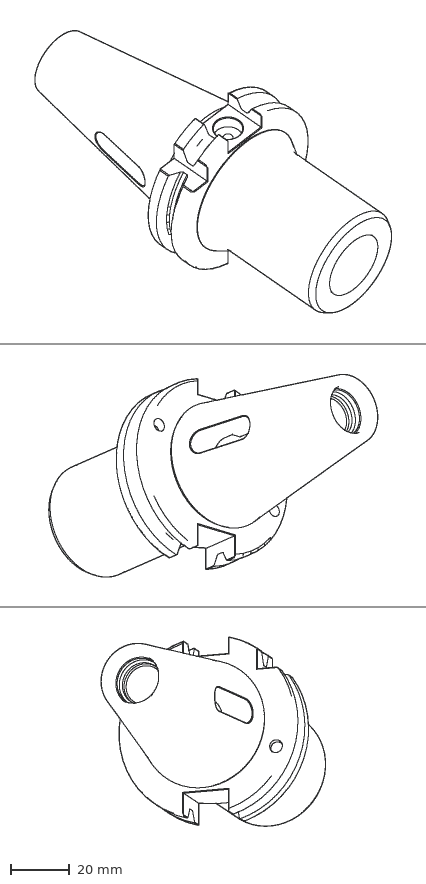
import cadquery as cq
import math

clearance = 1.4

total_length = 138.4
gauge_x = 68.4
flange_front_x = 71.5
flange_back_x = 87.5
flange_mid_x = 79.5

gauge_radius = 44.4 / 2
taper_half_slope = 7 / 48
taper_end_x = 68.8
small_end_fillet = 1.0
relief_radius = 21.6
relief_ramp = 1.2
relief_root_fillet = 0.5

flange_radius = 31.7
rim_fillet = 1.0
groove_root_radius = 28.1
groove_half_width = 3.5
groove_flank_angle = 30.0
groove_fillet = 1.0

body_radius = 40.0 / 2
body_chamfer_length = 2.2
body_chamfer_depth = 1.2
hub_length = 0.3
shoulder_radius = 23.8
shoulder_angle = 30.0
shoulder_fillet = 2.0

slot_width = 16.2
upper_slot_floor = 24.8
lower_slot_floor = 22.8
notch_offset = 18.5
edge_break = 0.3

chip_radius = 5.0
chip_depth = 4.5
pilot_radius = 1.7
pilot_depth = 8.3
pilot_tip_angle = 118.0

coolant_circle_radius = 27.0
coolant_position_angle = 20.0
coolant_radius = 2.2
coolant_lean_angle = 15.0
coolant_depth = 4.8

window_start_x = 33.5
window_end_x = 60.3
window_height = 8.2

mouth_fillet = 1.0
counterbore_radius = 17.0 / 2
counterbore_depth = 5.0
landing_radius = 8.2
landing_end_x = 7.5
thread_radius = 7.3
thread_length = 1.7
bore_radius = 6.8

socket_mouth_radius = 11.9
socket_half_slope = 0.025
socket_depth = 85.8


def tan_deg(angle):
    return math.tan(math.radians(angle))


def taper_radius(x):
    return gauge_radius - (gauge_x - x) * taper_half_slope


def revolve_about_x(profile):
    return profile.close().revolve(360, (0, 0, 0), (1, 0, 0))


def make_shank_and_body():
    hub_end_x = flange_back_x + hub_length
    shoulder_end_x = hub_end_x + (shoulder_radius - body_radius) / tan_deg(shoulder_angle)
    shank = revolve_about_x(
        cq.Workplane("XY")
        .moveTo(0, 0)
        .lineTo(0, taper_radius(0))
        .lineTo(taper_end_x, taper_radius(taper_end_x))
        .lineTo(taper_end_x + relief_ramp, relief_radius)
        .lineTo(flange_front_x - relief_root_fillet, relief_radius)
        .radiusArc((flange_front_x, relief_radius + relief_root_fillet), -relief_root_fillet)
        .lineTo(flange_mid_x, shoulder_radius)
        .lineTo(hub_end_x, shoulder_radius)
        .lineTo(shoulder_end_x, body_radius)
        .lineTo(total_length - body_chamfer_length, body_radius)
        .lineTo(total_length, body_radius - body_chamfer_depth)
        .lineTo(total_length, 0)
    )
    shank = shank.faces("<X").edges().fillet(small_end_fillet)
    shoulder_foot = cq.selectors.BoxSelector(
        (shoulder_end_x - clearance, -body_radius, -body_radius),
        (shoulder_end_x + clearance, body_radius, body_radius),
    )
    return shank.edges("%CIRCLE").edges(shoulder_foot).fillet(shoulder_fillet)


def make_flange_blank():
    width = flange_back_x - flange_front_x
    return cq.Workplane("YZ", origin=(flange_front_x, 0, 0)).circle(flange_radius).extrude(width)


def make_groove():
    root_half_width = groove_half_width - (flange_radius - groove_root_radius) * tan_deg(groove_flank_angle)
    top_half_width = groove_half_width + clearance * tan_deg(groove_flank_angle)
    section = (
        cq.Sketch()
        .polygon([
            (flange_mid_x - top_half_width, flange_radius + clearance),
            (flange_mid_x - root_half_width, groove_root_radius),
            (flange_mid_x + root_half_width, groove_root_radius),
            (flange_mid_x + top_half_width, flange_radius + clearance),
            (flange_mid_x - top_half_width, flange_radius + clearance),
        ])
        .vertices("<Y")
        .fillet(groove_fillet)
    )
    return cq.Workplane("XY").placeSketch(section).revolve(360, (0, 0, 0), (1, 0, 0))


def flange_block(y_start, y_end, z_start, z_end):
    """Cutting block running from the front of the flange clear past its rear shoulder."""
    length = total_length - body_chamfer_length - flange_front_x
    return (
        cq.Workplane("XY")
        .box(length, y_end - y_start, z_end - z_start, centered=False)
        .translate((flange_front_x, y_start, z_start))
    )


def make_flange_cutouts():
    half = slot_width / 2
    clear = flange_radius + clearance
    upper_slot = flange_block(-half, half, upper_slot_floor, clear)
    lower_slot = flange_block(-half, half, -clear, -lower_slot_floor)
    notch = flange_block(-clear, -notch_offset, notch_offset, clear)
    return upper_slot.union(lower_slot).union(notch)


def make_flange(cutouts):
    """Slotted flange: slot edges are broken, the rim is rounded and the V groove is turned in."""
    slotted = make_flange_blank().cut(cutouts)
    face_edges = slotted.faces("<X or >X").edges("%LINE")
    rim_edges = slotted.edges("|X").filter(
        lambda edge: math.hypot(edge.Center().y, edge.Center().z) > flange_radius - edge_break
    )
    broken = face_edges.add(rim_edges).chamfer(edge_break)
    rounded_rim = make_flange_blank().faces("<X or >X").edges().fillet(rim_fillet)
    return broken.intersect(rounded_rim).cut(make_groove())


def make_chip_hole():
    """Flat recess with a broken mouth edge and a drilled pilot in its floor."""
    tip_length = pilot_radius / tan_deg(pilot_tip_angle / 2)
    profile = (
        cq.Workplane("XZ", origin=(flange_mid_x, 0, upper_slot_floor))
        .moveTo(0, 0)
        .lineTo(chip_radius + edge_break, 0)
        .lineTo(chip_radius, -edge_break)
        .lineTo(chip_radius, -chip_depth)
        .lineTo(pilot_radius, -chip_depth)
        .lineTo(pilot_radius, -pilot_depth)
        .lineTo(0, -pilot_depth - tip_length)
        .close()
    )
    return profile.revolve(360, (0, 0, 0), (0, 1, 0))


def make_coolant_hole(angle):
    """Round hole starting on the flange face and leaning towards the axis."""
    lean = math.radians(coolant_lean_angle)
    start = cq.Vector(flange_front_x, coolant_circle_radius, 0)
    direction = cq.Vector(math.cos(lean), -math.sin(lean), 0)
    hole = cq.Solid.makeCylinder(
        coolant_radius, coolant_depth + clearance, start - direction * clearance, direction
    )
    return cq.Workplane(hole).rotate((0, 0, 0), (1, 0, 0), angle)


def make_window():
    return (
        cq.Workplane("XZ", origin=((window_start_x + window_end_x) / 2, 0, 0))
        .slot2D(window_end_x - window_start_x, window_height)
        .extrude(gauge_radius, both=True)
    )


def make_bore():
    thread_start_x = landing_end_x + landing_radius - thread_radius
    thread_end_x = thread_start_x + thread_length
    socket_end_x = total_length - socket_depth
    socket_end_radius = socket_mouth_radius - socket_depth * socket_half_slope
    return revolve_about_x(
        cq.Workplane("XY")
        .moveTo(0, 0)
        .lineTo(0, counterbore_radius + mouth_fillet)
        .radiusArc((mouth_fillet, counterbore_radius), -mouth_fillet)
        .lineTo(counterbore_depth, counterbore_radius)
        .lineTo(counterbore_depth + counterbore_radius - landing_radius, landing_radius)
        .lineTo(landing_end_x, landing_radius)
        .lineTo(thread_start_x, thread_radius)
        .lineTo(thread_end_x, thread_radius)
        .lineTo(thread_end_x + thread_radius - bore_radius, bore_radius)
        .lineTo(socket_end_x, bore_radius)
        .lineTo(socket_end_x, socket_end_radius)
        .lineTo(total_length, socket_mouth_radius)
        .lineTo(total_length, 0)
    )


def add_window(shank):
    """Cut the cross slot and break its rim on the taper surface."""
    window_rim = cq.selectors.BoxSelector(
        (window_start_x - clearance, -gauge_radius, -window_height),
        (window_end_x + clearance, gauge_radius, window_height),
    )
    return shank.cut(make_window()).edges(window_rim).edges("not |Y").chamfer(edge_break)


cutouts = make_flange_cutouts()
shank_and_body = add_window(make_shank_and_body())
result = shank_and_body.cut(cutouts).union(make_flange(cutouts))
result = result.cut(make_chip_hole())
for side_angle in (coolant_position_angle, coolant_position_angle + 180):
    result = result.cut(make_coolant_hole(side_angle))
result = result.cut(make_bore())